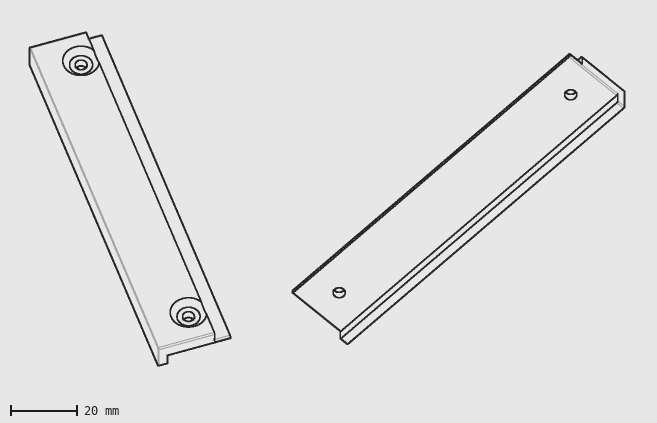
import cadquery as cq

length = 120.0
width = 23.0
height = 9.0

lip_depth = 3.0
lip_drop = 4.0
ledge_depth = 5.0
ledge_thickness = 1.5

end_radius = 0.5
front_radius = 0.2

hole_inset = 10.0
hole_diameter = 3.6
sink_top_diameter = 11.0
sink_floor_diameter = 7.0
sink_depth = 2.0


def make_bar():
    """Extrude the stepped section over the full length."""
    ledge_top = lip_drop + ledge_thickness
    section = [
        (0, 0),
        (lip_depth, 0),
        (lip_depth, lip_drop),
        (width, lip_drop),
        (width, ledge_top),
        (width - ledge_depth, ledge_top),
        (width - ledge_depth, height),
        (0, height),
    ]
    return cq.Workplane("YZ").polyline(section).close().extrude(length)


def make_screw_cut(x, y):
    """Through hole topped by a flat-floored conical recess."""
    profile = [
        (0, 0),
        (hole_diameter / 2, 0),
        (hole_diameter / 2, height - sink_depth),
        (sink_floor_diameter / 2, height - sink_depth),
        (sink_top_diameter / 2, height),
        (0, height),
    ]
    cut = cq.Workplane("XZ").polyline(profile).close().revolve(360, (0, 0), (0, 1))
    return cut.translate((x, y, 0))


def round_edges(bar):
    """Round the horizontal end edges, then the long edges of the front face."""
    bar = bar.faces("<X or >X").edges("|Y").fillet(end_radius)
    return bar.faces("<Y").edges("|X").fillet(front_radius)


result = round_edges(make_bar())
for hole_x in (hole_inset, length - hole_inset):
    result = result.cut(make_screw_cut(hole_x, width - hole_inset))